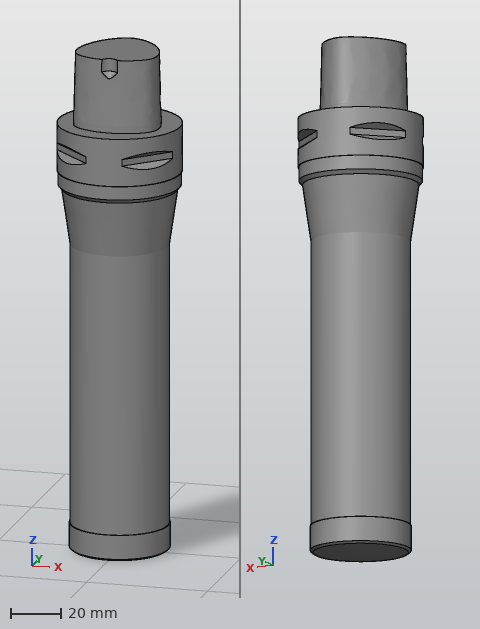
import cadquery as cq
import math

TOTAL_HEIGHT = 207.0
SHANK_LENGTH = 30.0
COLLAR_HEIGHT = 3.0
FLANGE_TOP = TOTAL_HEIGHT - SHANK_LENGTH
FLANGE_BOTTOM = 157.3
BAND_BOTTOM = 151.7
CONE_TOP = 150.0
CONE_BOTTOM = 126.9
CAP_TOP = 11.4
CAP_RIM = 1.5

FLANGE_DIAMETER = 50.0
BAND_DIAMETER = 49.5
CONE_DIAMETER = 46.5
TUBE_DIAMETER = 39.7
CAP_DIAMETER = 40.4
CAP_FACE_DIAMETER = 38.0
CAP_FACE_HEIGHT = 0.6

SHANK_MEAN_DIAMETER = 35.0
SHANK_TAPER = 1 / 20
SHANK_LOBE = 1.28
SHANK_POINTS = 24

KEYWAY_RADIUS = 3.5
KEYWAY_DEPTH = 2.3
KEYWAY_LENGTH = 5.2
KEYWAY_TIP_LENGTH = 3.5

GROOVE_COUNT = 4
GROOVE_FIRST_ANGLE = 45.0
GROOVE_HEIGHT = 167.3
GROOVE_FLOOR_DISTANCE = 22.1
GROOVE_FLOOR_WIDTH = 2.7
GROOVE_MOUTH_WIDTH = 6.8


def lobed_wire(mean_radius, height):
    """Closed constant-width curve with one lobe pointing along +Y."""
    points = []
    for index in range(SHANK_POINTS):
        angle = 2 * math.pi * index / SHANK_POINTS
        support = mean_radius + SHANK_LOBE * math.cos(3 * angle)
        slope = -3 * SHANK_LOBE * math.sin(3 * angle)
        along_lobe = support * math.cos(angle) - slope * math.sin(angle)
        across_lobe = support * math.sin(angle) + slope * math.cos(angle)
        points.append(cq.Vector(-across_lobe, along_lobe, height))
    return cq.Wire.assembleEdges([cq.Edge.makeSpline(points, periodic=True)])


def make_shank():
    base_radius = SHANK_MEAN_DIAMETER / 2
    collar_top = FLANGE_TOP + COLLAR_HEIGHT
    top_radius = base_radius - SHANK_TAPER * (TOTAL_HEIGHT - collar_top) / 2
    base_wire = lobed_wire(base_radius, FLANGE_TOP)
    collar_wire = lobed_wire(base_radius, collar_top)
    top_wire = lobed_wire(top_radius, TOTAL_HEIGHT)
    collar = cq.Solid.makeLoft([base_wire, collar_wire], True)
    taper = cq.Solid.makeLoft([collar_wire, top_wire])

    top_flat_distance = top_radius - SHANK_LOBE
    keyway_center_y = -(top_flat_distance - KEYWAY_DEPTH + KEYWAY_RADIUS)
    keyway_floor = TOTAL_HEIGHT - KEYWAY_LENGTH
    keyway_profile = [
        (0, keyway_floor - KEYWAY_TIP_LENGTH),
        (KEYWAY_RADIUS, keyway_floor),
        (KEYWAY_RADIUS, TOTAL_HEIGHT),
        (0, TOTAL_HEIGHT),
    ]
    keyway = (
        cq.Workplane("XZ", origin=(0, keyway_center_y, 0))
        .polyline(keyway_profile)
        .close()
        .revolve(360, (0, 0), (0, 1))
    )
    return cq.Workplane(collar).union(cq.Workplane(taper)).cut(keyway)


def make_turned_body():
    profile = [
        (0, CAP_TOP),
        (TUBE_DIAMETER / 2, CAP_TOP),
        (TUBE_DIAMETER / 2, CONE_BOTTOM),
        (CONE_DIAMETER / 2, CONE_TOP),
        (BAND_DIAMETER / 2, BAND_BOTTOM),
        (BAND_DIAMETER / 2, FLANGE_BOTTOM),
        (FLANGE_DIAMETER / 2, FLANGE_BOTTOM),
        (FLANGE_DIAMETER / 2, FLANGE_TOP),
        (0, FLANGE_TOP),
    ]
    return cq.Workplane("XZ").polyline(profile).close().revolve(360, (0, 0), (0, 1))


def make_gripper_groove(angle):
    """Straight groove with a flat floor and walls flaring to the flange surface."""
    flange_radius = FLANGE_DIAMETER / 2
    section = [
        (GROOVE_FLOOR_DISTANCE, GROOVE_HEIGHT - GROOVE_FLOOR_WIDTH / 2),
        (flange_radius, GROOVE_HEIGHT - GROOVE_MOUTH_WIDTH / 2),
        (flange_radius, GROOVE_HEIGHT + GROOVE_MOUTH_WIDTH / 2),
        (GROOVE_FLOOR_DISTANCE, GROOVE_HEIGHT + GROOVE_FLOOR_WIDTH / 2),
    ]
    groove = cq.Workplane("XZ").polyline(section).close().extrude(flange_radius, both=True)
    return groove.rotate((0, 0, 0), (0, 0, 1), angle)


def make_holder():
    holder = make_turned_body().union(make_shank())
    for index in range(GROOVE_COUNT):
        angle = GROOVE_FIRST_ANGLE + index * 360 / GROOVE_COUNT
        holder = holder.cut(make_gripper_groove(angle))
    return holder


def make_end_cap():
    """Slightly oversize end cap with a bevelled rim and a shallow domed face."""
    face_radius = CAP_FACE_DIAMETER / 2
    dome_radius = (face_radius**2 + CAP_FACE_HEIGHT**2) / (2 * CAP_FACE_HEIGHT)
    middle_radius = face_radius / 2
    middle_height = dome_radius - math.sqrt(dome_radius**2 - middle_radius**2)
    profile = (
        cq.Workplane("XZ")
        .threePointArc((middle_radius, middle_height), (face_radius, CAP_FACE_HEIGHT))
        .lineTo(CAP_DIAMETER / 2, CAP_RIM)
        .lineTo(CAP_DIAMETER / 2, CAP_TOP)
        .lineTo(0, CAP_TOP)
        .close()
    )
    return profile.revolve(360, (0, 0), (0, 1))


holder = make_holder()
end_cap = make_end_cap()
result = cq.Compound.makeCompound([holder.val(), end_cap.val()])